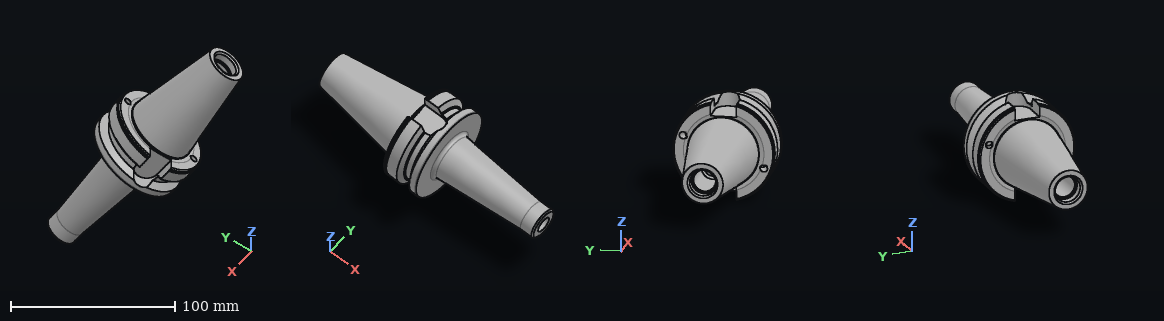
import cadquery as cq
import math

LENGTH = 167.4
TAPER_END = 65.5
FLANGE_FRONT = 66.3
FLANGE_BACK = 92.4
TIP_START = 157.5

TAPER_RADIUS = 22.3
TAPER_SLOPE = 7 / 48
TAPER_SMALL_RADIUS = TAPER_RADIUS - TAPER_END * TAPER_SLOPE
RELIEF_RADIUS = 22.0
RELIEF_BEVEL = 0.3
DISH_RADIUS = 25.0
DISH_DEPTH = 0.5

FLANGE_RADIUS = 31.5
FRONT_CHAMFER = 0.8
BACK_BEVEL_LENGTH = 1.0
BACK_BEVEL_DROP = 0.25

GRIP_CENTER = 82.0
GRIP_RADIUS = 26.5
GRIP_MOUTH = 10.0
GRIP_HALF_ANGLE = math.radians(30)
GRIP_FLOOR = GRIP_MOUTH - 2 * (FLANGE_RADIUS - GRIP_RADIUS) * math.tan(GRIP_HALF_ANGLE)

CORNER_RELIEF_WIDTH = 0.5
CORNER_RELIEF_RADIUS = 26.3

MARK_CENTER = 68.1
MARK_MOUTH = 1.7
MARK_FLOOR = 0.7
MARK_DEPTH = 0.3

TIP_RADIUS = 10.5
TIP_CHAMFER = 1.0
NOSE_ANGLE = math.radians(4.5)
NOSE_FILLET = 2.5

SLOT_WIDTH = 16.0
SLOT_END = 88.5
SLOT_FLOOR = 22.5

BORE_MOUTH_RADIUS = 9.4
COUNTERBORE_RADIUS = 8.2
COUNTERBORE_DEPTH = 6.0
THREAD_RADIUS = 6.9
THREAD_CHAMFER = 0.7
THREAD_END = 31.8
THROUGH_RADIUS = 5.2
DRILL_HALF_ANGLE = math.radians(59)

PORT_RADIUS = 2.2
PORT_CIRCLE_RADIUS = 26.6
PORT_ANGLE = 20
PORT_TILT = 20
PORT_DEPTH = 6.7


def nose_radius(x):
    """Radius of the nose cone at station x."""
    return TIP_RADIUS + (TIP_START - x) * math.tan(NOSE_ANGLE)


def revolve(outline):
    """Revolve a closed (x, radius) outline about the X axis."""
    return outline.close().revolve(360, (0, 0, 0), (1, 0, 0))


def make_body():
    fillet_end = FLANGE_BACK + NOSE_FILLET
    cone_radius = nose_radius(fillet_end)
    outline = (
        cq.Workplane("XY")
        .moveTo(0, 0)
        .lineTo(0, TAPER_SMALL_RADIUS)
        .lineTo(TAPER_END, TAPER_RADIUS)
        .lineTo(TAPER_END + RELIEF_BEVEL, RELIEF_RADIUS)
        .lineTo(FLANGE_FRONT + DISH_DEPTH, RELIEF_RADIUS)
        .lineTo(FLANGE_FRONT, DISH_RADIUS)
        .lineTo(FLANGE_FRONT, FLANGE_RADIUS - FRONT_CHAMFER)
        .lineTo(FLANGE_FRONT + FRONT_CHAMFER, FLANGE_RADIUS)
        .lineTo(FLANGE_BACK - BACK_BEVEL_LENGTH, FLANGE_RADIUS)
        .lineTo(FLANGE_BACK, FLANGE_RADIUS - BACK_BEVEL_DROP)
        .lineTo(FLANGE_BACK, cone_radius + NOSE_FILLET)
        .radiusArc((fillet_end, cone_radius), -NOSE_FILLET)
        .lineTo(TIP_START, TIP_RADIUS)
        .lineTo(LENGTH - TIP_CHAMFER, TIP_RADIUS)
        .lineTo(LENGTH, TIP_RADIUS - TIP_CHAMFER)
        .lineTo(LENGTH, 0)
    )
    return revolve(outline)


def make_ring_groove(center, mouth, floor, floor_radius):
    """Cutter for a ring groove with sloped walls in the flange rim."""
    depth = FLANGE_RADIUS - floor_radius
    half_top = mouth - floor / 2
    outline = (
        cq.Workplane("XY")
        .moveTo(center - floor / 2, floor_radius)
        .lineTo(center + floor / 2, floor_radius)
        .lineTo(center + half_top, FLANGE_RADIUS + depth)
        .lineTo(center - half_top, FLANGE_RADIUS + depth)
    )
    return revolve(outline)


def make_corner_relief():
    relief_end = GRIP_CENTER - GRIP_FLOOR / 2
    outline = (
        cq.Workplane("XY")
        .moveTo(relief_end - CORNER_RELIEF_WIDTH, CORNER_RELIEF_RADIUS)
        .lineTo(relief_end, CORNER_RELIEF_RADIUS)
        .lineTo(relief_end, FLANGE_RADIUS)
        .lineTo(relief_end - CORNER_RELIEF_WIDTH, FLANGE_RADIUS)
    )
    return revolve(outline)


def make_bore():
    mouth_chamfer = BORE_MOUTH_RADIUS - COUNTERBORE_RADIUS
    cone_length = (THREAD_RADIUS - THROUGH_RADIUS) / math.tan(DRILL_HALF_ANGLE)
    outline = (
        cq.Workplane("XY")
        .moveTo(0, 0)
        .lineTo(0, BORE_MOUTH_RADIUS)
        .lineTo(mouth_chamfer, COUNTERBORE_RADIUS)
        .lineTo(COUNTERBORE_DEPTH, COUNTERBORE_RADIUS)
        .lineTo(COUNTERBORE_DEPTH, THREAD_RADIUS + THREAD_CHAMFER)
        .lineTo(COUNTERBORE_DEPTH + THREAD_CHAMFER, THREAD_RADIUS)
        .lineTo(THREAD_END, THREAD_RADIUS)
        .lineTo(THREAD_END + cone_length, THROUGH_RADIUS)
        .lineTo(LENGTH, THROUGH_RADIUS)
        .lineTo(LENGTH, 0)
    )
    return revolve(outline)


def make_drive_slot(side):
    """Round-ended slot cutter on the +Z (side=1) or -Z (side=-1) side."""
    half_width = SLOT_WIDTH / 2
    straight_end = SLOT_END - half_width
    return (
        cq.Workplane("XY", origin=(0, 0, side * SLOT_FLOOR))
        .moveTo(TAPER_END, -half_width)
        .lineTo(straight_end, -half_width)
        .threePointArc((SLOT_END, 0), (straight_end, half_width))
        .lineTo(TAPER_END, half_width)
        .close()
        .extrude(side * FLANGE_RADIUS)
    )


def make_coolant_port(angle):
    """Port cutter that leans toward the axis as it goes into the flange."""
    tilt = math.radians(PORT_TILT)
    direction = cq.Vector(math.cos(tilt), -math.sin(tilt), 0)
    mouth = cq.Vector(FLANGE_FRONT, PORT_CIRCLE_RADIUS, 0)
    start = mouth - direction * PORT_RADIUS
    port = cq.Solid.makeCylinder(PORT_RADIUS, PORT_DEPTH + PORT_RADIUS, start, direction)
    return cq.Workplane(port).rotate((0, 0, 0), (1, 0, 0), angle)


result = make_body()
result = result.cut(make_ring_groove(GRIP_CENTER, GRIP_MOUTH, GRIP_FLOOR, GRIP_RADIUS))
result = result.cut(make_corner_relief())
result = result.cut(make_ring_groove(MARK_CENTER, MARK_MOUTH, MARK_FLOOR, FLANGE_RADIUS - MARK_DEPTH))
for side in (1, -1):
    result = result.cut(make_drive_slot(side))
for angle in (PORT_ANGLE, PORT_ANGLE + 180):
    result = result.cut(make_coolant_port(angle))
result = result.cut(make_bore())